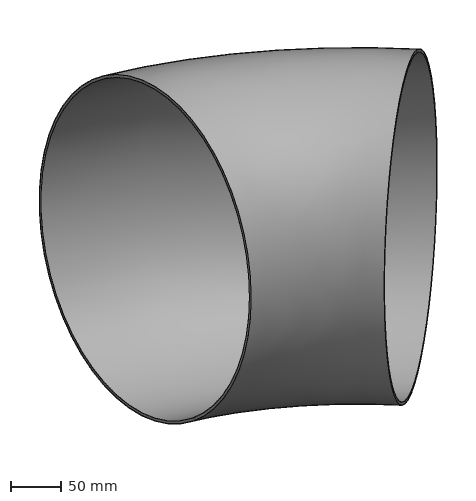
import cadquery as cq

outer_diameter = 355.5
wall = 3.0
bend_radius = 356.0
bend_angle = 45

outer_radius = outer_diameter / 2
inner_radius = outer_radius - wall

inlet_ring = cq.Workplane("XZ").circle(outer_radius).circle(inner_radius)
result = inlet_ring.revolve(bend_angle, (bend_radius, 4, 0), (bend_radius, 0, 0))